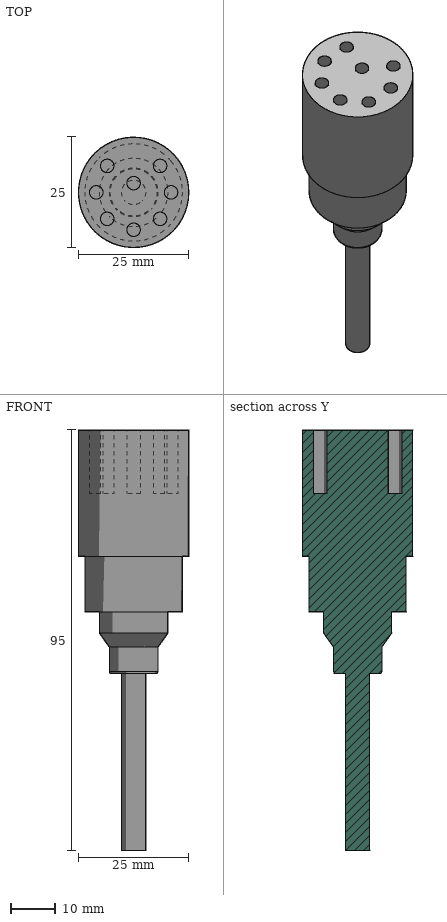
import cadquery as cq
import math

total_length = 95.0
housing_diameter = 25.0
sleeve_diameter = 22.0
neck_diameter = 15.5
collar_diameter = 11.0
cable_diameter = 5.5

housing_length = 28.5
sleeve_length = 12.5
neck_length = 4.8
taper_length = 3.1
collar_length = 6.0

collar_bevel_height = 0.5
collar_bevel_inset = 0.2

hole_diameter = 3.0
hole_depth = 14.25
hole_circle_radius = 8.5
ring_positions = 8
inner_hole_y = 2.1

housing_bottom = total_length - housing_length
sleeve_bottom = housing_bottom - sleeve_length
neck_bottom = sleeve_bottom - neck_length
taper_bottom = neck_bottom - taper_length
cable_length = taper_bottom - collar_length
bevel_top = cable_length + collar_bevel_height
collar_end_diameter = collar_diameter - 2 * collar_bevel_inset


def cylinder(diameter, bottom, length):
    """Solid cylinder on the Z axis, standing on the given level."""
    return cq.Workplane("XY").workplane(offset=bottom).circle(diameter / 2).extrude(length)


def cone(top_diameter, bottom_diameter, bottom, length):
    """Solid truncated cone on the Z axis, standing on the given level."""
    return (
        cq.Workplane("XY")
        .workplane(offset=bottom)
        .circle(bottom_diameter / 2)
        .workplane(offset=length)
        .circle(top_diameter / 2)
        .loft()
    )


def contact_hole_centres():
    """Seven places on a circle; the eighth, at +Y, is moved in towards the centre."""
    centres = [(0, inner_hole_y)]
    for position in range(1, ring_positions):
        angle = math.radians(90) + position * math.tau / ring_positions
        centres.append((hole_circle_radius * math.cos(angle), hole_circle_radius * math.sin(angle)))
    return centres


housing = cylinder(housing_diameter, housing_bottom, housing_length)
sleeve = cylinder(sleeve_diameter, sleeve_bottom, sleeve_length)
neck = cylinder(neck_diameter, neck_bottom, neck_length)
taper = cone(neck_diameter, collar_diameter, taper_bottom, taper_length)
collar = cylinder(collar_diameter, bevel_top, collar_length - collar_bevel_height)
collar_bevel = cone(collar_diameter, collar_end_diameter, cable_length, collar_bevel_height)
cable = cylinder(cable_diameter, 0, cable_length)
body = housing
for section in (sleeve, neck, taper, collar, collar_bevel, cable):
    body = body.union(section)

contact_holes = (
    cq.Workplane("XY")
    .workplane(offset=total_length - hole_depth)
    .pushPoints(contact_hole_centres())
    .circle(hole_diameter / 2)
    .extrude(hole_depth)
)
result = body.cut(contact_holes)